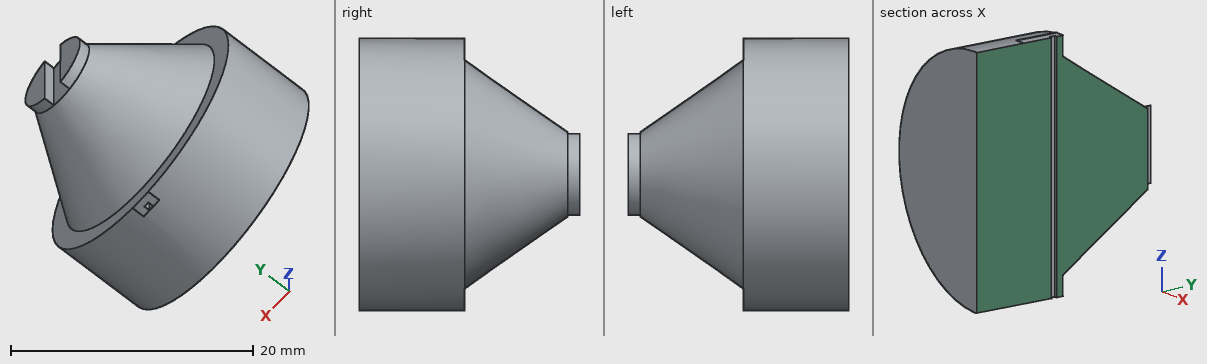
import cadquery as cq

body_diameter = 22.5
body_length = 8.7
cone_base_diameter = 18.9
tip_diameter = 7.0
tip_length = 1.0
total_length = 18.2
slot_width = 2.0
top_key_length = 4.0
bottom_key_length = 1.2
key_depth = 1.0
pin_hole_size = 0.5
pin_hole_setback = 0.9

body_radius = body_diameter / 2
tip_start = total_length - tip_length


def revolved_body():
    """Cylinder, cone and round tip in one profile turned about Y."""
    profile = (
        cq.Workplane("XY")
        .moveTo(0, 0)
        .lineTo(body_radius, 0)
        .lineTo(body_radius, body_length)
        .lineTo(cone_base_diameter / 2, body_length)
        .lineTo(tip_diameter / 2, tip_start)
        .lineTo(tip_diameter / 2, total_length)
        .lineTo(0, total_length)
        .close()
    )
    return profile.revolve(360, (0, 0, 0), (0, 1, 0))


def tip_slot():
    """Cutter that parts the tip into two lugs."""
    return cq.Workplane("XY").box(slot_width, tip_length, tip_diameter).translate(
        (0, total_length - tip_length / 2, 0)
    )


def flat_key(length, base_height):
    """Flat-faced key, flush with the rear face of the body, rising from base_height."""
    return (
        cq.Workplane("XY")
        .workplane(offset=base_height)
        .center(0, body_length - length / 2)
        .rect(slot_width, length)
        .extrude(key_depth)
    )


def pin_hole():
    """Square cutter that passes through the whole body along Z."""
    return cq.Workplane("XY").box(pin_hole_size, pin_hole_size, body_diameter).translate(
        (0, body_length - pin_hole_setback, 0)
    )


result = (
    revolved_body()
    .cut(tip_slot())
    .union(flat_key(top_key_length, body_radius - key_depth))
    .union(flat_key(bottom_key_length, -body_radius))
    .cut(pin_hole())
)